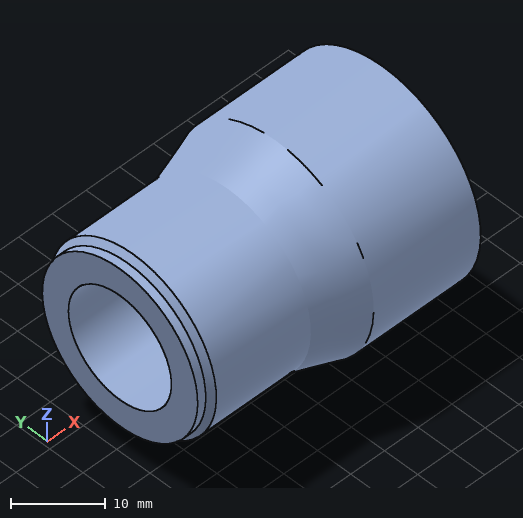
import cadquery as cq

total_length = 39.0
bore_diameter = 15.5
nose_diameter = 23.42
small_diameter = 25.0
large_diameter = 29.5

nose_length = 1.2
taper_start = 16.0
taper_end = 23.1

bevel_height = (small_diameter - nose_diameter) / 2
bevel_end = nose_length + bevel_height


def sleeve_blank():
    """Solid of revolution: nose, bevel, small barrel, taper and large barrel."""
    half_profile = (
        cq.Workplane("XZ")
        .moveTo(0, 0)
        .lineTo(0, nose_diameter / 2)
        .lineTo(nose_length, nose_diameter / 2)
        .lineTo(bevel_end, small_diameter / 2)
        .lineTo(taper_start, small_diameter / 2)
        .lineTo(taper_end, large_diameter / 2)
        .lineTo(total_length, large_diameter / 2)
        .lineTo(total_length, 0)
        .close()
    )
    return half_profile.revolve(360, (0, 0, 0), (1, 0, 0))


def through_bore():
    """Cylinder that opens the sleeve from end to end."""
    return cq.Workplane("YZ").circle(bore_diameter / 2).extrude(total_length)


result = sleeve_blank().cut(through_bore())